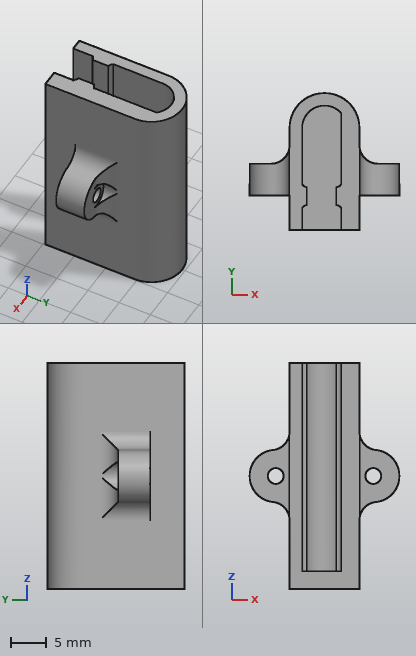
import cadquery as cq
import math

height = 31.75
depth = 19.25
body_radius = 4.92
floor_thickness = 2.55
round_center_y = depth - body_radius

cavity_radius = 3.15
cavity_left = -cavity_radius
cavity_right = 2.35

ridge_height = 0.67
ridge_flat_front = 3.5
ridge_flat_back = 6.03
flank_depth = 0.4
flank_radius = 0.8

ear_span = 21.05
ear_tip_x = ear_span / 2
ear_radius = 3.68
ear_front = 4.83
ear_thickness = 4.5
ear_back = ear_front + ear_thickness
ear_center_x = ear_tip_x - ear_radius
ear_fillet = 2.55
hole_diameter = 2.2
clearance_radius = ear_center_x - body_radius
mid_height = height / 2


def make_body():
    return (
        cq.Workplane("XY")
        .moveTo(-body_radius, 0)
        .lineTo(body_radius, 0)
        .lineTo(body_radius, round_center_y)
        .threePointArc((0, depth), (-body_radius, round_center_y))
        .close()
        .extrude(height)
    )


def make_cavity():
    right_arc_y = round_center_y + math.sqrt(cavity_radius**2 - cavity_right**2)
    outline = (
        cq.Workplane("XY", origin=(0, 0, floor_thickness))
        .moveTo(cavity_left, 0)
        .lineTo(cavity_right, 0)
        .lineTo(cavity_right, right_arc_y)
        .threePointArc((0, round_center_y + cavity_radius), (cavity_left, round_center_y))
        .close()
        .extrude(height - floor_thickness)
    )
    return outline.cut(make_ridge(cavity_left, 1)).cut(make_ridge(cavity_right, -1))


def make_ridge(wall_x, inward):
    """Ridge on the wall at wall_x, standing out in the X direction inward (+1 or -1)."""
    crest_x = wall_x + inward * ridge_height
    return (
        cq.Workplane("XY")
        .moveTo(wall_x, ridge_flat_front - flank_depth)
        .radiusArc((crest_x, ridge_flat_front), inward * flank_radius)
        .lineTo(crest_x, ridge_flat_back)
        .radiusArc((wall_x, ridge_flat_back + flank_depth), inward * flank_radius)
        .close()
        .extrude(height)
    )


def make_ear():
    """Right ear: a rounded lug with fillets to the body above, below and behind."""
    fillet_x = body_radius + ear_fillet
    center_gap = ear_radius + ear_fillet
    fillet_z = math.sqrt(center_gap**2 - (fillet_x - ear_center_x) ** 2)
    joint_share = ear_radius / center_gap
    joint_x = ear_center_x + (fillet_x - ear_center_x) * joint_share
    joint_z = fillet_z * joint_share
    joint_angle = math.atan2(joint_z - fillet_z, joint_x - fillet_x)
    mid_angle = (joint_angle - math.pi) / 2
    mid_x = fillet_x + ear_fillet * math.cos(mid_angle)
    mid_z = fillet_z + ear_fillet * math.sin(mid_angle)

    lug_plane = cq.Workplane("XZ", origin=(0, ear_front, mid_height))
    lug = (
        lug_plane
        .moveTo(cavity_radius, -fillet_z)
        .lineTo(body_radius, -fillet_z)
        .threePointArc((mid_x, -mid_z), (joint_x, -joint_z))
        .threePointArc((ear_tip_x, 0), (joint_x, joint_z))
        .threePointArc((mid_x, mid_z), (body_radius, fillet_z))
        .lineTo(cavity_radius, fillet_z)
        .close()
        .extrude(-(ear_thickness + ear_fillet))
    )
    back_profile = (
        cq.Workplane("XY")
        .moveTo(cavity_radius, ear_front)
        .lineTo(ear_tip_x, ear_front)
        .lineTo(ear_tip_x, ear_back)
        .lineTo(fillet_x, ear_back)
        .radiusArc((body_radius, ear_back + ear_fillet), ear_fillet)
        .lineTo(cavity_radius, ear_back + ear_fillet)
        .close()
        .extrude(height)
    )
    hole = lug_plane.center(ear_center_x, 0).circle(hole_diameter / 2).extrude(-ear_thickness)
    clearance = (
        cq.Workplane("XZ", origin=(ear_center_x, ear_back, mid_height))
        .circle(clearance_radius)
        .extrude(-ear_fillet)
    )
    return lug.intersect(back_profile).cut(hole).cut(clearance)


ear = make_ear()
result = make_body().union(ear).union(ear.mirror("YZ")).cut(make_cavity())